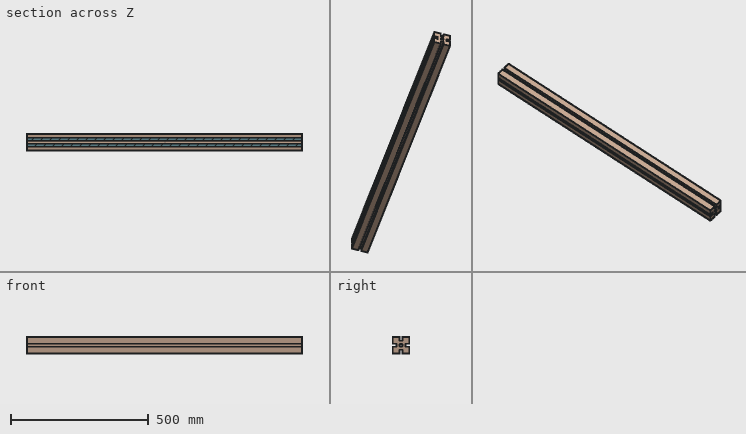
import cadquery as cq

length = 1000.0
side = 60.0
slot_width = 10.0
slot_depth = 13.0
bore_diameter = 10.0


def slot(angle):
    """Full-length slot in the top face, turned about the bar axis."""
    return (
        cq.Workplane("XY")
        .box(length, slot_width, slot_depth)
        .translate((0, 0, (side - slot_depth) / 2))
        .rotate((0, 0, 0), (1, 0, 0), angle)
    )


result = cq.Workplane("XY").box(length, side, side)

for angle in (0, 90, 180, 270):
    result = result.cut(slot(angle))

bore = cq.Workplane("YZ").circle(bore_diameter / 2).extrude(length / 2, both=True)
result = result.cut(bore)